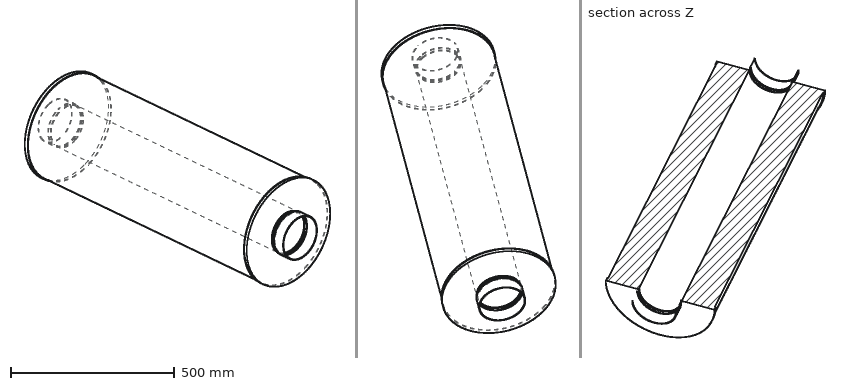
import cadquery as cq

total_length = 1082.0
shell_diameter = 350.0
cap_diameter = 355.0
cap_width = 13.0

spigot_diameter = 145.0
spigot_length = 43.0
neck_diameter = 140.0
neck_length = 8.0

passage_diameter = 140.0
rib_bore = 135.0
rib_overlap = 2.0

end_x = total_length / 2
neck_outer_x = end_x - spigot_length
cap_face_x = neck_outer_x - neck_length
rib_outer_x = neck_outer_x + rib_overlap
rib_inner_x = cap_face_x - rib_overlap


def cylinder(diameter, start_x, stop_x):
    """Solid cylinder along X between two stations."""
    return cq.Workplane("YZ", origin=(start_x, 0, 0)).circle(diameter / 2).extrude(stop_x - start_x)


def end_fitting():
    """End cap, neck and spigot on the +X end, before boring."""
    cap = cylinder(cap_diameter, cap_face_x - cap_width, cap_face_x)
    neck = cylinder(neck_diameter, cap_face_x, neck_outer_x)
    spigot = cylinder(spigot_diameter, neck_outer_x, end_x)
    return cap.union(neck).union(spigot)


def through_passage():
    """Stepped cutter for the open passage, leaving both internal ribs."""
    middle = cylinder(passage_diameter, -rib_inner_x, rib_inner_x)
    narrow = cylinder(rib_bore, -end_x, end_x)
    mouth = cylinder(passage_diameter, rib_outer_x, end_x)
    return middle.union(narrow).union(mouth).union(mouth.mirror("YZ"))


shell = cylinder(shell_diameter, -cap_face_x, cap_face_x)
fitting = end_fitting()
result = shell.union(fitting).union(fitting.mirror("YZ")).cut(through_passage())